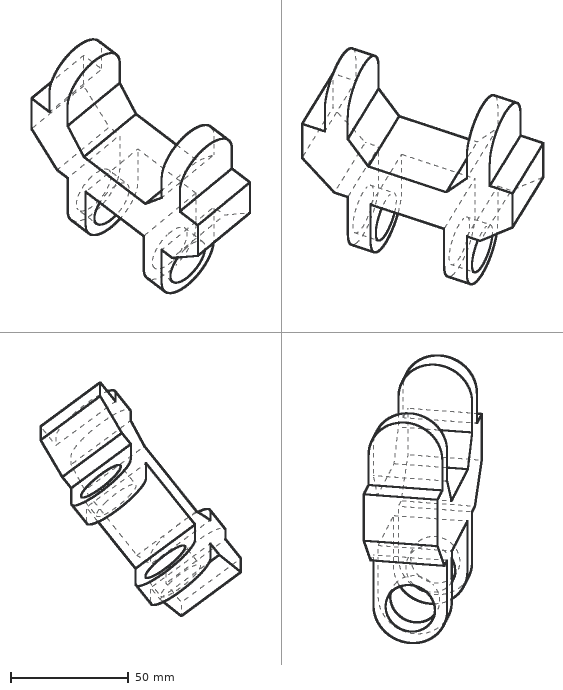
import cadquery as cq

total_height = 106.0
total_width = 98.6
depth = 32.1

lug_thickness = depth / 3
lug_radius = depth / 2
hole_diameter = 2 * lug_thickness

half_width = total_width / 2
upper_lug_outer = half_width - lug_thickness
upper_lug_inner = upper_lug_outer - lug_thickness
lower_lug_outer = upper_lug_inner
lower_lug_inner = lower_lug_outer - lug_thickness
body_bottom = 39.4
shoulder_height = 76.0
side_height = 2 * lug_thickness
side_bottom = shoulder_height - side_height
corner_chamfer = side_bottom - body_bottom
saddle_floor = 63.0
saddle_half_width = 18.2


def make_body():
    """Central block with chamfered lower corners and a sloped saddle on top."""
    right_side = [
        (half_width - corner_chamfer, body_bottom),
        (half_width, side_bottom),
        (half_width, shoulder_height),
        (upper_lug_inner, shoulder_height),
        (saddle_half_width, saddle_floor),
    ]
    left_side = [(-x, z) for x, z in reversed(right_side)]
    return (
        cq.Workplane("XZ")
        .polyline(right_side + left_side)
        .close()
        .extrude(depth / 2, both=True)
    )


def make_lug(inner_x, root_z, tip_z):
    """Round-ended plate on the +X side, running from root_z to tip_z."""
    direction = 1 if tip_z > root_z else -1
    arc_z = tip_z - direction * lug_radius
    return (
        cq.Workplane("YZ", origin=(inner_x, 0, 0))
        .moveTo(-lug_radius, root_z)
        .lineTo(-lug_radius, arc_z)
        .threePointArc((0, tip_z), (lug_radius, arc_z))
        .lineTo(lug_radius, root_z)
        .close()
        .extrude(lug_thickness)
    )


upper_lug = make_lug(upper_lug_inner, shoulder_height, total_height)
lower_lug = make_lug(lower_lug_inner, body_bottom, 0)

result = make_body()
for lug in (upper_lug, lower_lug):
    result = result.union(lug).union(lug.mirror("YZ"))

bore = (
    cq.Workplane("YZ")
    .center(0, lug_radius)
    .circle(hole_diameter / 2)
    .extrude(half_width, both=True)
)
result = result.cut(bore)